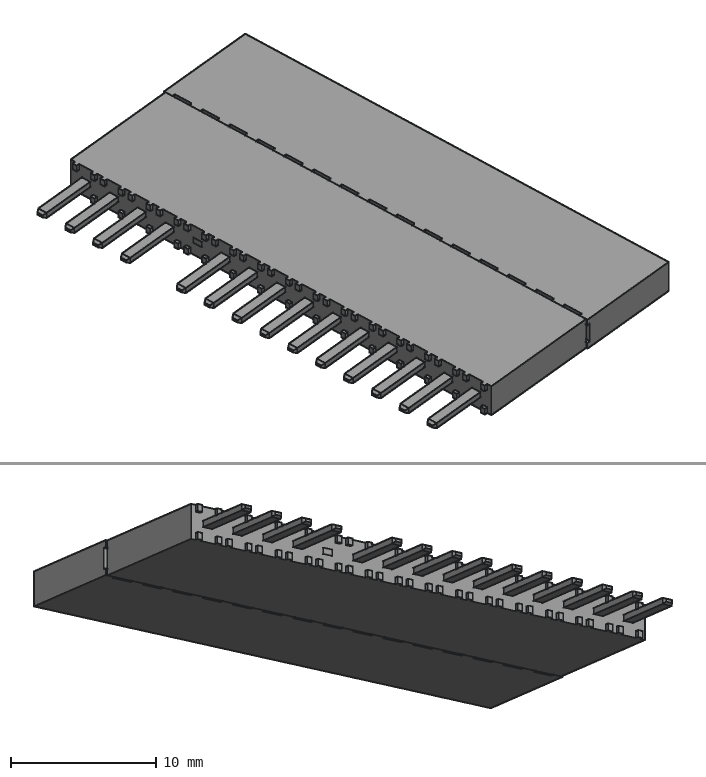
import cadquery as cq

pitch = 2.54
contact_count = 15
plugged_contact = 4

socket_end_margin = 0.255
socket_length = contact_count * pitch + 2 * socket_end_margin
socket_depth = 8.51
body_height = 2.54

channel_depth = 0.254
cross_channel_width = 1.524
long_channel_height = 1.524

spacer_end_margin = 0.127
spacer_length = contact_count * pitch + 2 * spacer_end_margin
spacer_depth = 9.91

foot_offset = 0.82
foot_width = 0.38
foot_height = 0.508
foot_depth = 0.254

total_depth = 23.24
tail_width = 0.762
tail_thickness = 0.457
tip_length = 0.254
tip_inset = 0.13

spacer_front = -spacer_depth
recess_floor = channel_depth
tail_end = socket_depth - total_depth
tip_start = tail_end + tip_length

contact_xs = [(index - (contact_count - 1) / 2) * pitch for index in range(contact_count)]
tail_xs = [x for index, x in enumerate(contact_xs) if index != plugged_contact]
plug_x = contact_xs[plugged_contact]


def block(x, y_front, y_back, width, height, z=0.0):
    """Box centred at x and z, running along Y from y_front to y_back."""
    depth = y_back - y_front
    return cq.Workplane("XY").box(width, depth, height).translate((x, (y_front + y_back) / 2, z))


def contact_bar(x, y_front, y_back):
    """Straight rectangular bar with the contact tail section."""
    return block(x, y_front, y_back, tail_width, tail_thickness)


def make_tail(x):
    """Contact tail from the socket face to a tip tapered on all four sides."""
    tip = (
        cq.Workplane("XZ", origin=(x, tip_start, 0))
        .rect(tail_width, tail_thickness)
        .workplane(offset=tip_length)
        .rect(tail_width - 2 * tip_inset, tail_thickness - 2 * tip_inset)
        .loft(ruled=True)
    )
    return contact_bar(x, tip_start, recess_floor).union(tip)


def make_socket():
    """Socket block with crossing clearance channels and its contact tails."""
    socket = block(0, 0, socket_depth, socket_length, body_height)
    socket = socket.cut(block(0, 0, recess_floor, socket_length, long_channel_height))
    for x in contact_xs:
        socket = socket.cut(block(x, 0, recess_floor, cross_channel_width, body_height))
    for x in tail_xs:
        socket = socket.union(make_tail(x))
    return socket


def make_spacer():
    """Spacer block with a passage at every position and four feet around each one."""
    spacer = block(0, spacer_front, 0, spacer_length, body_height)
    foot_z = (body_height - foot_height) / 2
    for x in contact_xs:
        for side in (-1, 1):
            for level in (-1, 1):
                foot = block(
                    x + side * foot_offset,
                    spacer_front - foot_depth,
                    spacer_front,
                    foot_width,
                    foot_height,
                    level * foot_z,
                )
                spacer = spacer.union(foot)
        spacer = spacer.cut(contact_bar(x, spacer_front, 0))
    return spacer


def make_plug():
    """Plug that closes one passage, flush with the spacer front face."""
    return contact_bar(plug_x, spacer_front, recess_floor)


socket = make_socket()
spacer = make_spacer()
plug = make_plug()

result = cq.Compound.makeCompound([socket.solids().val(), spacer.solids().val(), plug.val()])